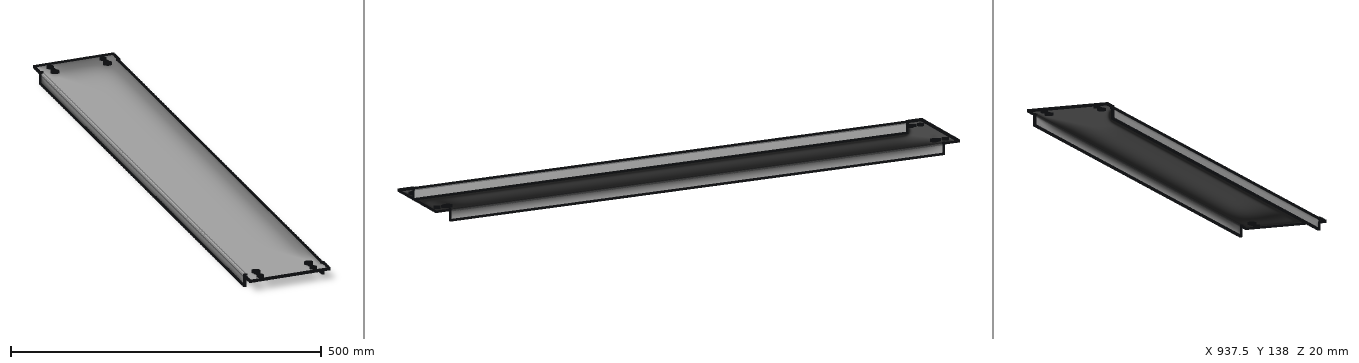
import cadquery as cq

length = 937.5
width = 138.0
height = 20.0
thickness = 2.0

flange_setback = 26.0
bend_inner_radius = 2.0
bend_outer_radius = bend_inner_radius + thickness
flange_length = length - 2 * flange_setback

hole_row_y = 46.0
round_hole_inset = 13.0
round_hole_diameter = 8.0
keyhole_inset = 33.0
keyhole_diameter = 11.0
keyhole_slot_width = 6.0
keyhole_slot_reach = 7.5

through_depth = 3 * thickness


def make_channel():
    """Flanged middle length: a plate bent down along both long edges."""
    outer = (
        cq.Workplane("XY")
        .box(flange_length, width, height, centered=(True, True, False))
        .edges("|X and >Z")
        .fillet(bend_outer_radius)
    )
    inner = (
        cq.Workplane("XY")
        .box(flange_length, width - 2 * thickness, height - thickness, centered=(True, True, False))
        .edges("|X and >Z")
        .fillet(bend_inner_radius)
    )
    return outer.cut(inner)


def make_end_tab(side):
    """Flat full-width tab beyond the flanges at one end."""
    tab_center_x = side * (length - flange_setback) / 2
    return (
        cq.Workplane("XY")
        .box(flange_setback, width, thickness, centered=(True, True, False))
        .translate((tab_center_x, 0, height - thickness))
    )


def make_corner_cutter(side_x, side_y):
    """Round hole and a keyhole whose slot points toward the panel's end."""
    y = side_y * hole_row_y
    round_x = side_x * (length / 2 - round_hole_inset)
    keyhole_x = side_x * (length / 2 - keyhole_inset)
    slot_center_x = keyhole_x + side_x * keyhole_slot_reach / 2
    base = cq.Workplane("XY").workplane(offset=height - 2 * thickness)
    round_hole = base.center(round_x, y).circle(round_hole_diameter / 2).extrude(through_depth)
    keyhole = base.center(keyhole_x, y).circle(keyhole_diameter / 2).extrude(through_depth)
    slot = (
        base.center(slot_center_x, y)
        .slot2D(keyhole_slot_reach + keyhole_slot_width, keyhole_slot_width)
        .extrude(through_depth)
    )
    return round_hole.union(keyhole).union(slot)


panel = make_channel()
for side in (-1, 1):
    panel = panel.union(make_end_tab(side))

for side_x in (-1, 1):
    for side_y in (-1, 1):
        panel = panel.cut(make_corner_cutter(side_x, side_y))

result = panel